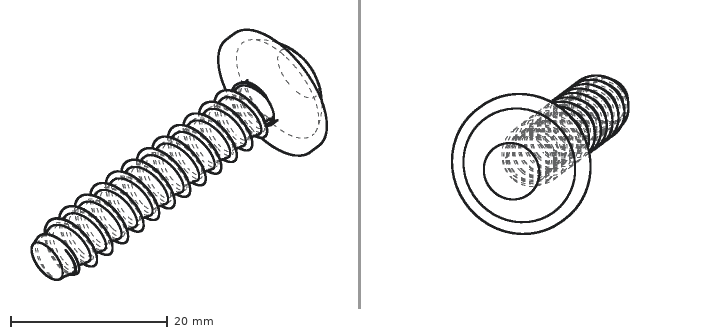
import cadquery as cq
import math


total_length = 45.6
head_height = 5.55
shank_length = total_length - head_height

flange_radius = 18.0 / 2
flange_thickness = 1.82
flange_edge_fillet = 0.15
dome_base_radius = 7.45
dome_top_radius = 3.7
dome_height = head_height - flange_thickness

neck_radius = 3.2
neck_length = 2.0
neck_fillet = 1.05

root_radius = 2.85
crest_radius = 4.1
thread_limit_radius = 4.15
thread_length = 33.85
thread_turns = 12
pitch = thread_length / thread_turns
crest_width = 0.05
lead_height = 0.5
lead_knee_radius = 3.3
lead_knee_height = 0.25
trail_knee_radius = 3.25
trail_knee_height = 0.3
ridge_foot_height = 1.82
root_overlap = 0.05
core_overrun = 4.55
first_crest_height = 1.28

runout_start_radius = 3.45
runout_start_length = 2.8
runout_end_length = 4.42
runout_end_radius = 2.85

tip_dish_depth = 0.25


def make_head():
    """Flange with softened rims, carrying a spherical dome with a flat top."""
    flange = (
        cq.Workplane("XY")
        .circle(flange_radius)
        .extrude(-flange_thickness)
        .edges()
        .fillet(flange_edge_fillet)
    )

    centre_height = (dome_top_radius**2 + dome_height**2 - dome_base_radius**2) / (2 * dome_height)
    sphere_radius = math.hypot(dome_base_radius, centre_height)
    half_height = dome_height / 2
    middle_radius = math.sqrt(sphere_radius**2 - (half_height - centre_height) ** 2)
    dome = (
        cq.Workplane("XZ")
        .moveTo(0, -flange_thickness)
        .lineTo(dome_base_radius, -flange_thickness)
        .threePointArc(
            (middle_radius, -flange_thickness - half_height),
            (dome_top_radius, -head_height),
        )
        .lineTo(0, -head_height)
        .close()
        .revolve(360, (0, 0, 0), (0, 1, 0))
    )
    return flange.union(dome)


def make_neck():
    """Plain neck that flares into the bearing face."""
    fillet_centre = neck_radius + neck_fillet
    fillet_reach = neck_fillet * math.sqrt(0.5)
    return (
        cq.Workplane("XZ")
        .lineTo(fillet_centre, 0)
        .threePointArc(
            (fillet_centre - fillet_reach, neck_fillet - fillet_reach),
            (neck_radius, neck_fillet),
        )
        .lineTo(neck_radius, neck_length)
        .lineTo(0, neck_length)
        .close()
        .revolve(360, (0, 0, 0), (0, 1, 0))
    )


def make_core():
    """Cylindrical root of the thread, left too long beyond both ends of the shank."""
    return (
        cq.Workplane("XY")
        .workplane(offset=-core_overrun)
        .circle(root_radius)
        .extrude(shank_length + 2 * core_overrun)
    )


def make_ridge():
    """Helical ridge: a sharp thread followed by a long taper down to the root."""
    buried_radius = root_radius - root_overlap
    lead_slope = (lead_height - lead_knee_height) / (lead_knee_radius - root_radius)
    taper_slope = (ridge_foot_height - trail_knee_height) / (trail_knee_radius - root_radius)
    buried_lead = lead_height + root_overlap * lead_slope
    buried_foot = ridge_foot_height + root_overlap * taper_slope
    helix_height = shank_length - first_crest_height + pitch
    path = cq.Wire.makeHelix(pitch, helix_height, root_radius).translate(
        cq.Vector(0, 0, first_crest_height)
    )
    ridge = (
        cq.Workplane("XZ")
        .polyline(
            [
                (buried_radius, -buried_lead),
                (lead_knee_radius, -lead_knee_height),
                (crest_radius, -crest_width / 2),
                (crest_radius, crest_width / 2),
                (trail_knee_radius, trail_knee_height),
                (buried_radius, buried_foot),
            ]
        )
        .close()
        .val()
        .translate(cq.Vector(0, 0, first_crest_height))
    )
    return cq.Workplane("XY").newObject([ridge]).toPending().sweep(path, isFrenet=True)


def make_thread_envelope():
    """Outer limit of the thread: it grows away from the neck and fades out at the tip."""
    return (
        cq.Workplane("XZ")
        .moveTo(0, neck_length)
        .lineTo(runout_start_radius, neck_length)
        .lineTo(thread_limit_radius, neck_length + runout_start_length)
        .lineTo(thread_limit_radius, shank_length - runout_end_length)
        .lineTo(runout_end_radius, shank_length)
        .lineTo(0, shank_length)
        .close()
        .revolve(360, (0, 0, 0), (0, 1, 0))
    )


def make_tip_dish():
    """Shallow conical hollow across the tip."""
    return (
        cq.Workplane("XZ")
        .moveTo(0, shank_length - tip_dish_depth)
        .lineTo(runout_end_radius, shank_length)
        .lineTo(0, shank_length)
        .close()
        .revolve(360, (0, 0, 0), (0, 1, 0))
    )


shank = make_core().union(make_ridge()).intersect(make_thread_envelope()).cut(make_tip_dish())
screw = make_head().union(make_neck()).union(shank)

result = screw.rotate((0, 0, 0), (1, 0, 0), 90)